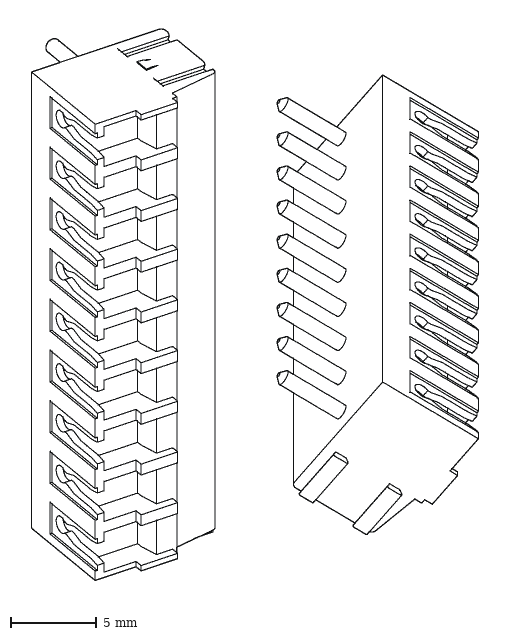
import cadquery as cq
import math

POLES = 9
PITCH = 3.5
BODY_X = 6.95
BODY_Y = 9.15
BODY_Z = POLES * PITCH
SHOULDER_X = 6.45
SHOULDER_Y = 5.7
CREST_X = 5.87
CREST_RADIUS = 0.3

RIB_REACH = 0.55
RIB_Y_MIN = 2.85
RIB_Y_MAX = 5.4
RIB_THICKNESS = 0.75

PIN_LENGTH = 4.55
PIN_RADIUS = 0.47
PIN_TIP_LENGTH = 0.35
PIN_TIP_RADIUS = 0.15
PIN_Y = 4.15

RECESS_X = 2.0
RECESS_HEIGHT = 2.18
RECESS_DEPTH = 0.15

WINDOW_DEPTH = 0.48
ROUND_X = 3.0
ROUND_RADIUS = 0.54
NECK_END_X = 3.65
NECK_HALF = 0.38
THROAT_X = 4.42
THROAT_HALF = 0.63
FLARE_X = 6.3
MOUTH_HALF = 0.75

CHAMBER_X = 5.33
CHAMBER_HEIGHT = PITCH - RIB_THICKNESS
CHAMBER_BACK_Y = 4.0
CHAMBER_RAMP_X = 5.69
CHAMBER_RAMP_RISE = 0.28
CHAMBER_LIP_RADIUS = 0.33

JOINT_Y = 5.67
JOINT_CENTRES = (1.08, 4.98)
TONGUE_ROOT_HALF = 0.38
TONGUE_SHOULDER_HALF = 0.48
TONGUE_SHOULDER_DEPTH = 0.27
TONGUE_BULGE_HALF = 0.52
TONGUE_BULGE_DEPTH = 0.38
TONGUE_END_HALF = 0.4
TONGUE_DEPTH = 0.5
GROOVE_MOUTH_HALF = 0.55
GROOVE_WAIST_HALF = 0.37
GROOVE_FLOOR_HALF = 0.5
GROOVE_DEPTH = 0.52

LATCH_X = 2.98
LATCH_Y_MIN = 5.78
LATCH_Y_CREST = 6.17
LATCH_Y_MAX = 6.65
LATCH_WIDE = 1.02
LATCH_NARROW = 0.8
LATCH_HEIGHT = 0.08

POLE_CENTRES = [PITCH * (pole + 0.5) for pole in range(POLES)]


def make_body():
    outline = [
        (0, 0),
        (BODY_X, 0),
        (BODY_X, SHOULDER_Y),
        (SHOULDER_X, SHOULDER_Y),
        (CREST_X, BODY_Y),
        (0, BODY_Y),
    ]
    body = cq.Workplane("XY").polyline(outline).close().extrude(BODY_Z)
    return body.faces(">Y").edges("|Z").fillet(CREST_RADIUS)


def make_rib(boundary):
    z_min = max(0, boundary * PITCH - RIB_THICKNESS / 2)
    z_max = min(BODY_Z, boundary * PITCH + RIB_THICKNESS / 2)
    size = (RIB_REACH, RIB_Y_MAX - RIB_Y_MIN, z_max - z_min)
    return cq.Workplane("XY").box(*size, centered=False).translate((BODY_X, RIB_Y_MIN, z_min))


def make_pin(z):
    half_section = [
        (0, 0),
        (0, -PIN_RADIUS),
        (PIN_TIP_LENGTH - PIN_LENGTH, -PIN_RADIUS),
        (-PIN_LENGTH, -PIN_TIP_RADIUS),
        (-PIN_LENGTH, 0),
    ]
    pin = cq.Workplane("XY").polyline(half_section).close().revolve(360, (0, 0, 0), (1, 0, 0))
    return pin.translate((0, PIN_Y, z))


def make_recess(z):
    size = (BODY_X - RECESS_X, RECESS_DEPTH, RECESS_HEIGHT)
    recess = cq.Workplane("XY").box(*size, centered=False)
    return recess.translate((RECESS_X, 0, z - RECESS_HEIGHT / 2))


def make_window(z):
    round_end_x = ROUND_X + math.sqrt(ROUND_RADIUS**2 - NECK_HALF**2)
    window = (
        cq.Workplane("XZ")
        .moveTo(round_end_x, NECK_HALF)
        .threePointArc((ROUND_X - ROUND_RADIUS, 0), (round_end_x, -NECK_HALF))
        .lineTo(NECK_END_X, -NECK_HALF)
        .lineTo(THROAT_X, -THROAT_HALF)
        .lineTo(FLARE_X, -THROAT_HALF)
        .lineTo(BODY_X, -MOUTH_HALF)
        .lineTo(BODY_X, MOUTH_HALF)
        .lineTo(FLARE_X, THROAT_HALF)
        .lineTo(THROAT_X, THROAT_HALF)
        .lineTo(NECK_END_X, NECK_HALF)
        .close()
        .extrude(-WINDOW_DEPTH)
    )
    return window.translate((0, RECESS_DEPTH, z))


def make_chamber(z):
    """Chamber with a rounded front lip and a back wall that runs level, then deepens toward +X."""
    front_y = RECESS_DEPTH + WINDOW_DEPTH
    lip_middle = CHAMBER_LIP_RADIUS * math.sqrt(0.5)
    lip_x = CHAMBER_X - CHAMBER_LIP_RADIUS
    lip_y = front_y + CHAMBER_LIP_RADIUS
    chamber = (
        cq.Workplane("XY")
        .moveTo(lip_x, front_y)
        .threePointArc((lip_x + lip_middle, lip_y - lip_middle), (CHAMBER_X, lip_y))
        .lineTo(CHAMBER_X, CHAMBER_BACK_Y)
        .lineTo(CHAMBER_RAMP_X, CHAMBER_BACK_Y)
        .lineTo(BODY_X, CHAMBER_BACK_Y + CHAMBER_RAMP_RISE)
        .lineTo(BODY_X, front_y)
        .close()
        .extrude(CHAMBER_HEIGHT)
    )
    return chamber.translate((0, 0, z - CHAMBER_HEIGHT / 2))


def make_tongue():
    """Tongue with a narrow root and a rounded bulge along each flank."""
    shoulder_z = -TONGUE_SHOULDER_DEPTH
    bulge_z = -TONGUE_BULGE_DEPTH
    tongue = (
        cq.Workplane("XZ")
        .moveTo(-TONGUE_ROOT_HALF, 0)
        .lineTo(-TONGUE_SHOULDER_HALF, shoulder_z)
        .threePointArc((-TONGUE_BULGE_HALF, bulge_z), (-TONGUE_END_HALF, -TONGUE_DEPTH))
        .lineTo(TONGUE_END_HALF, -TONGUE_DEPTH)
        .threePointArc((TONGUE_BULGE_HALF, bulge_z), (TONGUE_SHOULDER_HALF, shoulder_z))
        .lineTo(TONGUE_ROOT_HALF, 0)
        .close()
        .extrude(JOINT_Y - BODY_Y)
    )
    return tongue.translate((0, JOINT_Y, 0))


def make_groove():
    """Groove with rounded lips that narrow it to a waist above a wider floor."""
    lip_radius = GROOVE_MOUTH_HALF - GROOVE_WAIST_HALF
    lip_middle = lip_radius * (1 - math.sqrt(0.5))
    groove = (
        cq.Workplane("XZ")
        .moveTo(-GROOVE_MOUTH_HALF, 0)
        .threePointArc((-GROOVE_WAIST_HALF - lip_middle, -lip_middle), (-GROOVE_WAIST_HALF, -lip_radius))
        .lineTo(-GROOVE_FLOOR_HALF, -GROOVE_DEPTH)
        .lineTo(GROOVE_FLOOR_HALF, -GROOVE_DEPTH)
        .lineTo(GROOVE_WAIST_HALF, -lip_radius)
        .threePointArc((GROOVE_WAIST_HALF + lip_middle, -lip_middle), (GROOVE_MOUTH_HALF, 0))
        .close()
        .extrude(JOINT_Y - BODY_Y)
    )
    return groove.translate((0, JOINT_Y, BODY_Z))


def make_latch():
    """Wedge with a level crest at the front that ramps down toward +Y."""
    profile = [
        (LATCH_Y_MIN, 0),
        (LATCH_Y_MIN, LATCH_HEIGHT),
        (LATCH_Y_CREST, LATCH_HEIGHT),
        (LATCH_Y_MAX, 0),
    ]
    outline = [
        (LATCH_X - LATCH_WIDE / 2, LATCH_Y_MIN),
        (LATCH_X + LATCH_WIDE / 2, LATCH_Y_MIN),
        (LATCH_X + LATCH_NARROW / 2, LATCH_Y_MAX),
        (LATCH_X - LATCH_NARROW / 2, LATCH_Y_MAX),
    ]
    wedge = cq.Workplane("YZ").polyline(profile).close().extrude(BODY_X)
    taper = cq.Workplane("XY").polyline(outline).close().extrude(LATCH_HEIGHT)
    return wedge.intersect(taper).translate((0, 0, BODY_Z))


result = make_body()
for boundary in range(POLES + 1):
    result = result.union(make_rib(boundary))
for pole_z in POLE_CENTRES:
    result = result.cut(make_recess(pole_z))
    result = result.cut(make_window(pole_z))
    result = result.cut(make_chamber(pole_z))
    result = result.union(make_pin(pole_z))
for centre_x in JOINT_CENTRES:
    result = result.union(make_tongue().translate((centre_x, 0, 0)))
    result = result.cut(make_groove().translate((centre_x, 0, 0)))
result = result.union(make_latch())